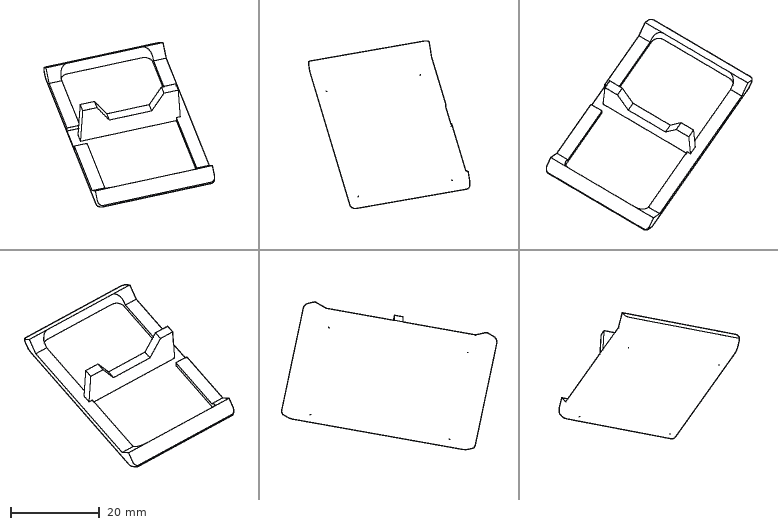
import cadquery as cq
import math

length = 44.6
width = 27.6
rim_top = 4.0
floor_top = 3.0

tip_bottom = 3.5
lip_rise = 2.55
end_bend_radius = 7.0

long_edge_radius = 3.0
corner_radius = 1.0
tip_edge_radius = 0.5

rim_width = 3.0
pocket_corner_radius = 2.0
gap_width = 5.8

rib_thickness = 2.0
rib_top = 13.0
rib_top_half = 11.25
rib_draft = math.radians(3)
notch_bottom = 8.0
notch_half = 5.0
notch_flank = math.radians(30)

half_length = length / 2
half_width = width / 2
peak_x = half_length - lip_rise
peak_z = rim_top + lip_rise
lip_foot_x = peak_x - lip_rise
bottom_half = half_length - tip_bottom
pocket_half_width = half_width - rim_width


def end_profile_body():
    """Boat-shaped XZ outline drawn across the full width."""
    right_side = [
        (bottom_half, 0),
        (half_length, tip_bottom),
        (half_length, rim_top),
        (peak_x, peak_z),
        (lip_foot_x, rim_top),
    ]
    left_side = [(-x, z) for x, z in reversed(right_side)]
    body = cq.Workplane("XZ").polyline(right_side + left_side).close().extrude(half_width, both=True)
    return body.faces("<Z").edges("|Y").fillet(end_bend_radius)


def cross_section_body():
    """Full-length bar with rounded lower long edges."""
    bar = cq.Workplane("XY").box(length, width, peak_z, centered=(True, True, False))
    return bar.faces("<Z").edges("|X").fillet(long_edge_radius)


def end_corner_edges(body):
    """Vertical tip edges and the creases running from them down to the flat bottom."""
    def is_corner(edge):
        center = edge.Center()
        outside_bend = abs(center.x) > lip_foot_x and abs(center.y) > pocket_half_width
        return outside_bend and center.z < rim_top

    edges = [edge for edge in body.edges().vals() if is_corner(edge)]
    return body.newObject(edges)


def tip_edges(body):
    """Long lower edges of the two vertical tip faces."""
    return body.faces("<X or >X").edges("<Z")


def pocket():
    """Round-cornered recess reaching out to the lip peaks."""
    block = cq.Workplane("XY").workplane(offset=floor_top).rect(2 * peak_x, 2 * pocket_half_width)
    return block.extrude(peak_z).edges("|Z").fillet(pocket_corner_radius)


def rim_gap():
    """Opening through the middle of the front rim, level with the pocket floor."""
    outline = cq.Workplane("XY").workplane(offset=floor_top).center(0, -half_width / 2)
    return outline.rect(gap_width, half_width).extrude(peak_z)


def rib():
    """Notched upright with slightly tapering ends."""
    base_half = rib_top_half + (rib_top - floor_top) * math.tan(rib_draft)
    notch_top_half = notch_half + (rib_top - notch_bottom) * math.tan(notch_flank)
    front_side = [
        (-base_half, floor_top),
        (-rib_top_half, rib_top),
        (-notch_top_half, rib_top),
        (-notch_half, notch_bottom),
    ]
    back_side = [(-y, z) for y, z in reversed(front_side)]
    outline = cq.Workplane("YZ").polyline(front_side + back_side).close()
    return outline.extrude(rib_thickness / 2, both=True)


plate = end_profile_body().intersect(cross_section_body())
plate = tip_edges(plate).fillet(tip_edge_radius)
plate = end_corner_edges(plate).fillet(corner_radius)
result = plate.cut(pocket()).cut(rim_gap()).union(rib())